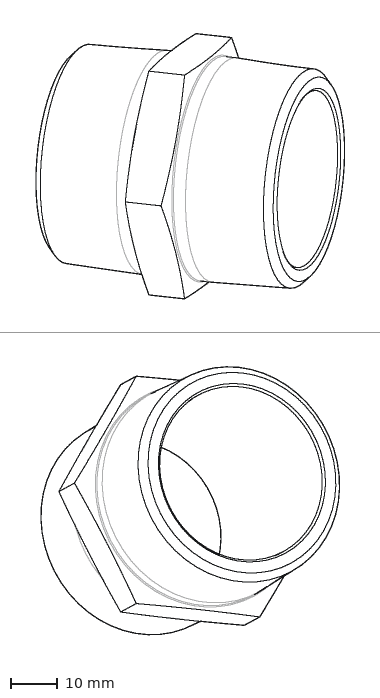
import cadquery as cq
import math

corner_diameter = 57.75
corner_width = 8.15
side_slope = math.radians(9.5)

overall_length = 54.0
root_diameter = 48.2
root_end = 7.85
thread_taper = 1 / 16
end_chamfer = 1.6
root_fillet = 0.3

bore_diameter = 38.0
bore_chamfer = 0.5

half_length = overall_length / 2
root_radius = root_diameter / 2
corner_radius = corner_diameter / 2


def collar_side(radius):
    """Distance of the sloping collar side from the middle plane at a radius."""
    return corner_width / 2 + (corner_radius - radius) * math.tan(side_slope)


def start_profile():
    """Sketch plane with the part axis along its local x and the radius along Z."""
    return cq.Workplane("XZ")


def revolve_about_axis(profile):
    """Close a half profile and turn it around the part axis."""
    return profile.close().revolve(360, (0, 0), (1, 0))


def make_stub():
    """One tapered stub on +X, with a fillet running into the collar side."""
    taper_end = half_length - end_chamfer
    tip_radius = root_radius - (taper_end - root_end) * thread_taper / 2

    centre_radius = root_radius + root_fillet
    centre_x = collar_side(centre_radius) + root_fillet / math.cos(side_slope)
    root_angle = math.pi / 2
    middle_angle = (root_angle + side_slope) / 2

    def fillet_point(angle):
        """Point on the fillet, with the angle measured from the inward axial direction."""
        return (
            centre_x - root_fillet * math.cos(angle),
            centre_radius - root_fillet * math.sin(angle),
        )

    side_point = fillet_point(side_slope)
    profile = (
        start_profile()
        .moveTo(0, 0)
        .lineTo(half_length, 0)
        .lineTo(half_length, tip_radius - end_chamfer)
        .lineTo(taper_end, tip_radius)
        .lineTo(root_end, root_radius)
        .lineTo(*fillet_point(root_angle))
        .threePointArc(fillet_point(middle_angle), side_point)
        .lineTo(0, side_point[1])
    )
    return revolve_about_axis(profile)


def make_collar():
    """Hexagon whose two sides slope back towards the corners."""
    envelope_radius = corner_radius + 0.6
    inner_half_width = collar_side(root_radius)
    outer_half_width = collar_side(envelope_radius)
    hexagon = cq.Workplane("YZ").polygon(6, corner_diameter).extrude(inner_half_width, both=True)
    envelope_profile = start_profile().polyline([
        (-inner_half_width, 0),
        (-inner_half_width, root_radius),
        (-outer_half_width, envelope_radius),
        (outer_half_width, envelope_radius),
        (inner_half_width, root_radius),
        (inner_half_width, 0),
    ])
    return hexagon.intersect(revolve_about_axis(envelope_profile))


def make_bore():
    """Through bore with a chamfer at each mouth."""
    bore_radius = bore_diameter / 2
    mouth_radius = bore_radius + bore_chamfer
    chamfer_start = half_length - bore_chamfer
    bore_profile = start_profile().polyline([
        (-half_length, 0),
        (-half_length, mouth_radius),
        (-chamfer_start, bore_radius),
        (chamfer_start, bore_radius),
        (half_length, mouth_radius),
        (half_length, 0),
    ])
    return revolve_about_axis(bore_profile)


stub = make_stub()
result = make_collar().union(stub).union(stub.mirror("YZ")).cut(make_bore())